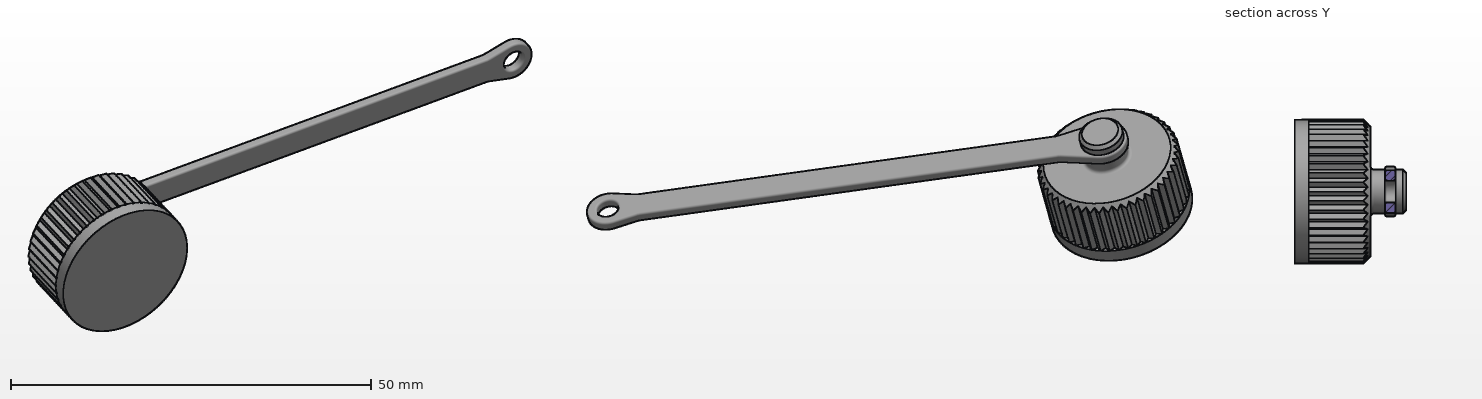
import cadquery as cq
import math


total_length = 83.0
total_width = 15.5

cap_diameter = 20.0
cap_radius = cap_diameter / 2
cap_depth = 10.5
cap_chamfer = 1.0
plain_rim_width = 2.0
knurl_count = 48
knurl_depth = 0.6

post_diameter = 6.1
post_length = total_width - cap_depth
post_chamfer = 0.5
post_root_fillet = 0.5

strap_thickness = 1.5
strap_start = 1.5
strap_width = 4.1
strap_edge_fillet = 0.3
strap_corner_radius = 2.0
corner_margin = 0.8
post_eye_diameter = 7.0
free_eye_diameter = 6.0
free_eye_hole_diameter = 3.0
eye_taper_angle = math.radians(14)
free_eye_y = total_length - cap_radius - free_eye_diameter / 2


def disc(diameter, x_start, length, y=0.0):
    """Cylinder along X that begins at x_start."""
    return cq.Workplane("YZ", origin=(x_start, y, 0)).circle(diameter / 2).extrude(length)


def polar(radius, angle):
    return (radius * math.cos(angle), radius * math.sin(angle))


def make_knurl_cutter():
    """V-grooves that meet in sharp crests, stopping short of the plain rim."""
    half_pitch = math.pi / knurl_count
    outline = []
    for tooth in range(knurl_count):
        crest_angle = 2 * half_pitch * tooth
        outline.append(polar(cap_radius, crest_angle))
        outline.append(polar(cap_radius - knurl_depth, crest_angle + half_pitch))
    knurl_length = cap_depth - plain_rim_width
    cap_face = cq.Workplane("YZ", origin=(post_length, 0, 0))
    toothed_core = cap_face.polyline(outline).close().extrude(knurl_length)
    return disc(cap_diameter + 2 * knurl_depth, post_length, knurl_length).cut(toothed_core)


def make_cap_and_post():
    """Turned body: chamfered post, filleted root and chamfered cap, then the knurl."""
    post_radius = post_diameter / 2
    fillet_mid_offset = post_root_fillet * (1 - math.sqrt(0.5))
    body = (
        cq.Workplane("XY")
        .lineTo(0, post_radius - post_chamfer)
        .lineTo(post_chamfer, post_radius)
        .lineTo(post_length - post_root_fillet, post_radius)
        .threePointArc(
            (post_length - fillet_mid_offset, post_radius + fillet_mid_offset),
            (post_length, post_radius + post_root_fillet),
        )
        .lineTo(post_length, cap_radius - cap_chamfer)
        .lineTo(post_length + cap_chamfer, cap_radius)
        .lineTo(total_width, cap_radius)
        .lineTo(total_width, 0)
        .close()
        .revolve(360, (0, 0, 0), (1, 0, 0))
    )
    return body.cut(make_knurl_cutter())


def eye_outline(diameter, y, toward):
    """Tangent point and strap corner of one eye; toward is +1 or -1 along Y, to the other eye."""
    radius = diameter / 2
    half_width = strap_width / 2
    tangent = (y + toward * radius * math.sin(eye_taper_angle), radius * math.cos(eye_taper_angle))
    corner_reach = (radius - half_width * math.cos(eye_taper_angle)) / math.sin(eye_taper_angle)
    corner = (y + toward * corner_reach, half_width)
    return tangent, corner


def mirrored(point):
    return (point[0], -point[1])


def make_strap():
    post_tangent, post_corner = eye_outline(post_eye_diameter, 0, 1)
    free_tangent, free_corner = eye_outline(free_eye_diameter, free_eye_y, -1)
    strap = (
        cq.Workplane("YZ", origin=(strap_start, 0, 0))
        .moveTo(*post_tangent)
        .lineTo(*post_corner)
        .lineTo(*free_corner)
        .lineTo(*free_tangent)
        .threePointArc((free_eye_y + free_eye_diameter / 2, 0), mirrored(free_tangent))
        .lineTo(*mirrored(free_corner))
        .lineTo(*mirrored(post_corner))
        .lineTo(*mirrored(post_tangent))
        .threePointArc((-post_eye_diameter / 2, 0), post_tangent)
        .close()
        .extrude(strap_thickness)
    )
    corners = cq.selectors.BoxSelector(
        (0, post_corner[0] - corner_margin, -strap_width),
        (total_width, free_corner[0] + corner_margin, strap_width),
    )
    strap = strap.edges("|X").edges(corners).fillet(strap_corner_radius)
    strap = strap.cut(disc(free_eye_hole_diameter, strap_start, strap_thickness, free_eye_y))
    return strap.faces("<X or >X").edges().fillet(strap_edge_fillet)


result = make_cap_and_post().union(make_strap())